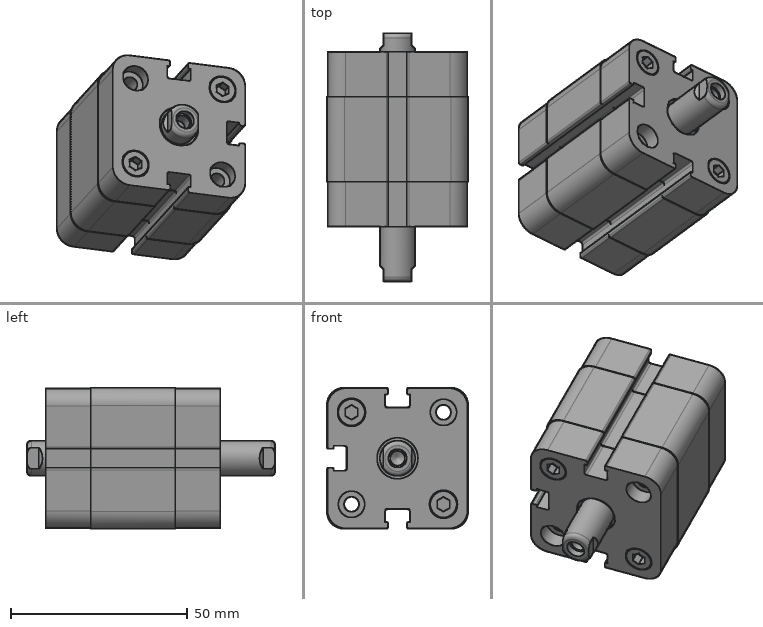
import cadquery as cq
import math

ROD_LENGTH = 70.5
CAP_FRONT_Y = -19.7
CAP_LENGTH = 12.75
BARREL_LENGTH = 24.05

BARREL_SIDE = 40.1
CAP_SIDE = 39.7
CORNER_RADIUS = 5.0

SLOT_ANGLES = (0, 90, 180)
SLOT_MOUTH_WIDTH = 5.35
SLOT_CAVITY_WIDTH = 7.0
BARREL_SLOT_FLOOR = 14.5
CAP_SLOT_FLOOR = 14.3
SLOT_LIP_OFFSET = 18.05
SLOT_FLOOR_RADIUS = 0.6
SLOT_LIP_RADIUS = 0.5
SLOT_MOUTH_ROUNDING = 0.55

BOLT_OFFSET = 13.05
BOLT_HOLE_DIAMETER = 4.15
BOLT_RECESS_DIAMETER = 7.5
BOLT_RECESS_DEPTH = 4.6
SCREW_HEAD_DIAMETER = 7.5
SCREW_RECESS_DIAMETER = 8.0
SCREW_RECESS_DEPTH = 4.2
HEX_ACROSS_CORNERS = 4.15
HEX_TURN = 30
HEX_DEPTH = 3.2

ROD_DIAMETER = 10.0
ROD_END_RADIUS = 1.35
ROD_GAP_DIAMETER = 11.6
ROD_GAP_DEPTH = 1.0
FLAT_WIDTH = 8.0
FLAT_LENGTH = 3.45
BORE_ENTRY_DIAMETER = 5.2
BORE_ENTRY_DEPTH = 2.1
BORE_DIAMETER = 4.15
BORE_DEPTH = 10.6
BORE_TIP_LENGTH = 1.3

ARC_INSET = 1 - math.sqrt(0.5)

BODY_LENGTH = 2 * CAP_LENGTH + BARREL_LENGTH
BODY_MIDDLE_Y = CAP_FRONT_Y + BODY_LENGTH / 2


def section(y):
    """Workplane across the rod axis; local x is X, local y is Z, extrusion goes toward +Y."""
    return cq.Workplane(cq.Plane(origin=(0, y, 0), xDir=(1, 0, 0), normal=(0, -1, 0)))


def cylinder(diameter, y, length, x=0, z=0):
    """Cylinder starting at y and running toward +Y."""
    return section(y).center(x, z).circle(diameter / 2).extrude(-length)


def at_both_caps(front_feature):
    """The feature on the front cap together with its mirror image on the back cap."""
    return front_feature.union(front_feature.mirror("XZ", (0, BODY_MIDDLE_Y, 0)))


def at_both_rod_ends(front_feature):
    """The feature on the front rod end together with its mirror image on the back end."""
    return front_feature.union(front_feature.mirror("XZ"))


def rounded_block(side, y, length):
    block = section(y).rect(side, side).extrude(-length)
    return block.edges("|Y").fillet(CORNER_RADIUS)


def slot_cutter(side, floor, y, length):
    """T-shaped slot open at the top of a block, with rounded edges along its mouth."""
    surface = side / 2
    mouth = SLOT_MOUTH_WIDTH / 2
    cavity = SLOT_CAVITY_WIDTH / 2
    rounding = SLOT_MOUTH_ROUNDING
    lip = SLOT_LIP_RADIUS
    return (
        section(y)
        .moveTo(0, surface)
        .lineTo(-mouth - rounding, surface)
        .threePointArc(
            (-mouth - rounding * ARC_INSET, surface - rounding * ARC_INSET),
            (-mouth, surface - rounding),
        )
        .lineTo(-mouth, SLOT_LIP_OFFSET + lip)
        .threePointArc(
            (-mouth - lip * ARC_INSET, SLOT_LIP_OFFSET + lip * ARC_INSET),
            (-mouth - lip, SLOT_LIP_OFFSET),
        )
        .lineTo(-cavity, SLOT_LIP_OFFSET)
        .lineTo(-cavity, floor + SLOT_FLOOR_RADIUS)
        .radiusArc((-cavity + SLOT_FLOOR_RADIUS, floor), -SLOT_FLOOR_RADIUS)
        .lineTo(0, floor)
        .mirrorY()
        .extrude(-length)
    )


def body_section(side, slot_floor, y, length):
    """One length of the body: a rounded square block with its sensor slots."""
    block = rounded_block(side, y, length)
    slot = slot_cutter(side, slot_floor, y, length)
    for angle in SLOT_ANGLES:
        block = block.cut(slot.rotate((0, 0, 0), (0, -1, 0), angle))
    return block


def bolt_hole(x, z):
    """Through hole with a recess in both end caps."""
    recess = cylinder(BOLT_RECESS_DIAMETER, CAP_FRONT_Y, BOLT_RECESS_DEPTH, x, z)
    return at_both_caps(recess).union(cylinder(BOLT_HOLE_DIAMETER, CAP_FRONT_Y, BODY_LENGTH, x, z))


def screw_cutter(x, z):
    """Narrow ring around a flush screw head, plus the hexagon socket in the head."""
    recess = cylinder(SCREW_RECESS_DIAMETER, CAP_FRONT_Y, SCREW_RECESS_DEPTH, x, z)
    ring = recess.cut(cylinder(SCREW_HEAD_DIAMETER, CAP_FRONT_Y, SCREW_RECESS_DEPTH, x, z))
    socket = section(CAP_FRONT_Y).center(x, z).polygon(6, HEX_ACROSS_CORNERS).extrude(-HEX_DEPTH)
    socket = socket.rotate((x, 0, z), (x, 1, z), HEX_TURN)
    return at_both_caps(ring.union(socket))


def flat_cutter():
    """Wrench flat on the +X side of the front rod end, running out at 45 degrees."""
    flat = FLAT_WIDTH / 2
    rod_end = -ROD_LENGTH / 2
    outside = ROD_DIAMETER
    return (
        cq.Workplane("XY")
        .moveTo(flat, rod_end)
        .lineTo(flat, rod_end + FLAT_LENGTH)
        .lineTo(outside, rod_end + FLAT_LENGTH + outside - flat)
        .lineTo(outside, rod_end)
        .close()
        .extrude(ROD_DIAMETER / 2, both=True)
    )


def bore_cutter():
    """Stepped blind bore with a conical bottom in the front rod end."""
    rod_end = -ROD_LENGTH / 2
    return (
        cq.Workplane("XY")
        .moveTo(0, rod_end)
        .lineTo(BORE_ENTRY_DIAMETER / 2, rod_end)
        .lineTo(BORE_ENTRY_DIAMETER / 2, rod_end + BORE_ENTRY_DEPTH)
        .lineTo(BORE_DIAMETER / 2, rod_end + BORE_ENTRY_DEPTH)
        .lineTo(BORE_DIAMETER / 2, rod_end + BORE_DEPTH)
        .lineTo(0, rod_end + BORE_DEPTH + BORE_TIP_LENGTH)
        .close()
        .revolve(360, (0, 0, 0), (0, 1, 0))
    )


def piston_rod():
    rod = cylinder(ROD_DIAMETER, -ROD_LENGTH / 2, ROD_LENGTH)
    rod = rod.faces("<Y or >Y").edges().fillet(ROD_END_RADIUS)
    flat = flat_cutter()
    flats = flat.union(flat.mirror("YZ"))
    return rod.cut(at_both_rod_ends(flats)).cut(at_both_rod_ends(bore_cutter()))


barrel_y = CAP_FRONT_Y + CAP_LENGTH
body = body_section(BARREL_SIDE, BARREL_SLOT_FLOOR, barrel_y, BARREL_LENGTH)
body = body.union(body_section(CAP_SIDE, CAP_SLOT_FLOOR, CAP_FRONT_Y, CAP_LENGTH))
body = body.union(body_section(CAP_SIDE, CAP_SLOT_FLOOR, barrel_y + BARREL_LENGTH, CAP_LENGTH))

for sign in (1, -1):
    body = body.cut(bolt_hole(sign * BOLT_OFFSET, sign * BOLT_OFFSET))
    body = body.cut(screw_cutter(sign * BOLT_OFFSET, -sign * BOLT_OFFSET))

body = body.cut(at_both_caps(cylinder(ROD_GAP_DIAMETER, CAP_FRONT_Y, ROD_GAP_DEPTH)))

result = body.union(piston_rod())